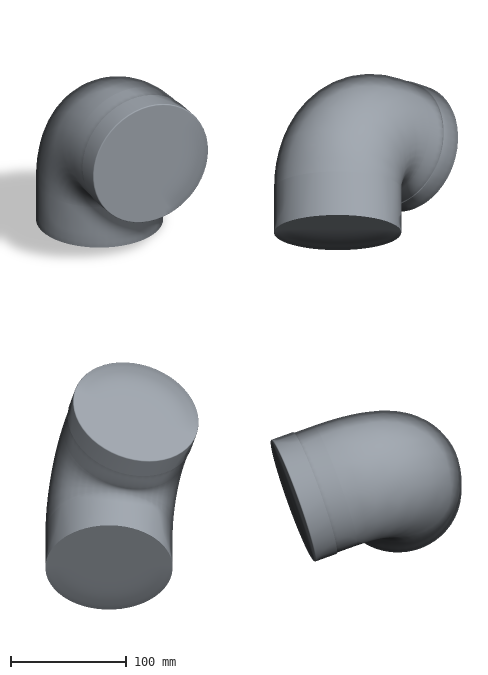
import cadquery as cq

pipe_diameter = 110.2
bend_radius = 57.8
upright_length = 39.2
neck_length = 18.8
collar_diameter = 112.0
collar_length = 20.2
rim_fillet = 0.9

axis_height = upright_length + bend_radius
collar_start = bend_radius + neck_length


def cylinder_along_x(start, length, diameter):
    """Solid cylinder on the axis of the horizontal leg."""
    return (
        cq.Workplane("YZ", origin=(start, 0, axis_height))
        .circle(diameter / 2)
        .extrude(length)
    )


upright = cq.Workplane("XY").circle(pipe_diameter / 2).extrude(upright_length)

bend = (
    cq.Workplane("XY", origin=(0, 0, upright_length))
    .circle(pipe_diameter / 2)
    .revolve(90, (bend_radius, 0, 0), (bend_radius, 1, 0))
)

neck = cylinder_along_x(bend_radius, neck_length, pipe_diameter)
collar = (
    cylinder_along_x(collar_start, collar_length, collar_diameter)
    .faces(">X")
    .fillet(rim_fillet)
)

result = upright.union(bend).union(neck).union(collar)